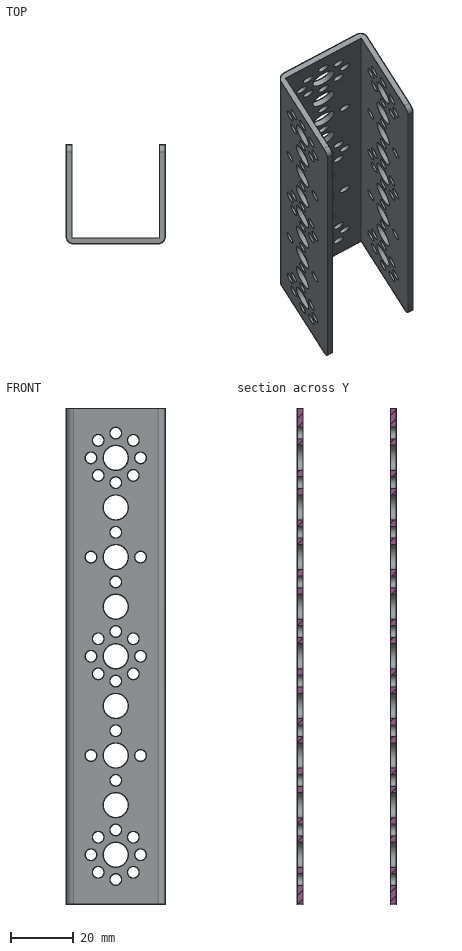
import cadquery as cq
import math

width = 32.0
depth = 32.0
length = 160.0
wall = 2.0
bend_radius = 2.4
corner_radius = 2.4

pitch = 16.0
large_diameter = 8.0
small_diameter = 3.7
ring_radius = pitch / 2
hole_count = round(length / pitch) - 1
full_ring_interval = 4
cross_ring_offset = full_ring_interval // 2
full_ring_count = 8
cross_ring_count = 4


def channel():
    """U channel along Z, open towards +Y."""
    block = (
        cq.Workplane("XY").box(width, depth, length)
        .edges("|Z and <Y").fillet(bend_radius)
        .edges("|X and >Y").fillet(corner_radius)
    )
    cavity = (
        cq.Workplane("XY")
        .box(width - 2 * wall, depth, length)
        .translate((0, wall, 0))
    )
    return block.cut(cavity)


def ring_points(center, count):
    """Points evenly spaced on a ring around a large hole."""
    angles = [2 * math.pi * i / count for i in range(count)]
    return [
        (ring_radius * math.cos(a), center + ring_radius * math.sin(a))
        for a in angles
    ]


def hole_centers():
    """Centres of the large and small holes, as (across, along) pairs."""
    large = []
    small = []
    for index in range(hole_count):
        along = (index - (hole_count - 1) / 2) * pitch
        large.append((0, along))
        place = index % full_ring_interval
        if place == 0:
            small += ring_points(along, full_ring_count)
        elif place == cross_ring_offset:
            small += ring_points(along, cross_ring_count)
    return large, small


def drills(plane, reach):
    """Hole cutters pushed along the normal of the given plane."""
    large, small = hole_centers()
    large_drills = (
        cq.Workplane(plane).pushPoints(large).circle(large_diameter / 2).extrude(reach)
    )
    small_drills = (
        cq.Workplane(plane).pushPoints(small).circle(small_diameter / 2).extrude(reach)
    )
    return large_drills.add(small_drills).combine()


web_drills = drills("XZ", depth)
flange_drills = drills("YZ", width).translate((-width / 2, 0, 0))

result = channel().cut(web_drills).cut(flange_drills)